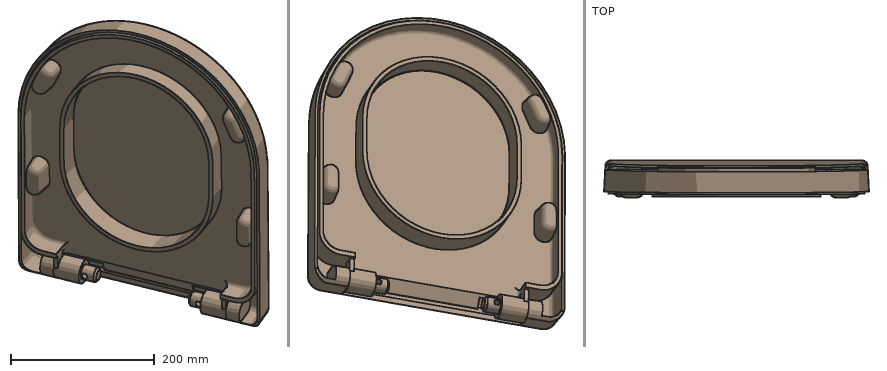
import cadquery as cq
import math


lid_half_width = 185.0
lid_arch_height = 182.0
lid_bottom = -264.5
lid_corner_radius = 22.0
lid_draft = 3.0
lid_rim_y = 7.5
lid_rim_slope = 0.0098
lid_rim_width = 4.0
lid_back_y = 46.5
lid_back_slope = 0.019
lid_back_edge_radius = 9.0
lid_floor_y = 43.0
lid_plateau_y = 30.5
lid_plateau_gap = 1.0
lid_floor_radius = 10.5
lid_bottom_wall = 5.0
hinge_notch_y = 45.5

ring_gap = 2.2
ring_rim_y = 4.5
ring_rim_slope = 0.0075
ring_rim_width = 5.5
ring_wall_bottom = -222.5
ring_end_wall_width = 7.0
ring_corner_radius = 31.5
ring_floor_y = 27.5
ring_floor_slope = 0.03
ring_floor_radius = 6.3
ring_plate = 4.0
ring_plate_bottom = -228.5
ramp_bottom = -248.0
ramp_drop = 9.0
ramp_back_y = 44.5

oval_radius = 110.8
oval_length = 53.5
lip_width = 6.3

axis_y = 27.5
axis_z = -248.13
barrel_radius = 17.2
barrel_outer_x = 131.8
barrel_inner_x = 93.0
knuckle_outer_x = 152.5
pin_radius = 10.5
pin_inner_x = 70.5
pin_chamfer = 3.0
pin_end_gap = 2.2
cross_hole_radius = 4.0
cross_hole_x = 87.0
arm_inner_x = 125.5
arm_front_y = 11.5

bumper_width = 27.5
bumper_length = 53.0
bumper_draft = 6.5
bumper_top_radius = 11.0
bumper_root = 1.0
bumper_places = [
    (161.0, -103.5, 0.0, 0.0),
    (146.0, 65.0, 25.0, -1.5),
]

far = 446.5
deep = 89.5


def facing_back(y):
    """Sketch plane at depth y, with its normal towards the back and its second axis along Z."""
    return cq.Workplane(cq.Plane(origin=(0, y, 0), xDir=(-1, 0, 0), normal=(0, 1, 0)))


def arch(half_width, height, bottom, corner, draft=0.0):
    """Prism from Y = 0 to the back: arched end, straight sides, two rounded bottom corners."""
    inset = corner * (1 - math.sqrt(0.5))
    return (
        facing_back(0)
        .moveTo(-half_width, 0)
        .threePointArc((0, height), (half_width, 0))
        .lineTo(half_width, bottom + corner)
        .threePointArc((half_width - inset, bottom + inset), (half_width - corner, bottom))
        .lineTo(corner - half_width, bottom)
        .threePointArc((inset - half_width, bottom + inset), (-half_width, bottom + corner))
        .close()
        .extrude(deep, taper=draft)
    )


def behind(y, slope):
    """Everything on the +Y side of a sloping face."""
    return (
        cq.Workplane("YZ")
        .polyline([(y - slope * far, far), (far, far), (far, -far), (y + slope * far, -far)])
        .close()
        .extrude(far, both=True)
    )


def rod(radius, x0, x1):
    """Cylinder on the hinge axis."""
    return cq.Workplane("YZ", origin=(x0, axis_y, axis_z)).circle(radius).extrude(x1 - x0)


def block(x0, x1, y0, y1, z0, z1):
    """Box between two corners."""
    return cq.Workplane("XY").box(x1 - x0, y1 - y0, z1 - z0, centered=False).translate((x0, y0, z0))


def span(side, x_near, x_far):
    """Start and end in X of a stretch on the given side of the middle."""
    return sorted((side * x_near, side * x_far))


def oval(y, radius):
    """Straight-sided oval prism around the seat opening, from depth y to the back."""
    sketch = facing_back(y).center(0, -oval_length / 2)
    return sketch.slot2D(oval_length + 2 * radius, 2 * radius, 90).extrude(deep)


def make_lid():
    body = arch(lid_half_width, lid_arch_height, lid_bottom, lid_corner_radius, lid_draft)
    body = body.intersect(behind(lid_rim_y, lid_rim_slope)).cut(behind(lid_back_y, lid_back_slope))
    body = body.faces(">Y").edges().fillet(lid_back_edge_radius)

    end_block = block(-far, far, -far, axis_y, -far, axis_z)
    body = body.cut(end_block.cut(rod(barrel_radius, -far, far)))

    cavity = arch(
        lid_half_width - lid_rim_width,
        lid_arch_height - lid_rim_width,
        lid_bottom + lid_bottom_wall,
        lid_corner_radius - lid_rim_width,
        lid_draft,
    )
    cavity = cavity.cut(behind(lid_floor_y, lid_back_slope))
    cavity = cavity.faces(">Y").edges().fillet(lid_floor_radius)
    for side in (-1, 1):
        x0, x1 = span(side, barrel_outer_x, knuckle_outer_x)
        foot = block(x0, x1, axis_y, deep, axis_z - barrel_radius, axis_z + barrel_radius)
        cavity = cavity.cut(rod(barrel_radius, x0, x1).union(foot))

    plateau = oval(0, oval_radius - lid_plateau_gap)
    cavity = cavity.cut(plateau.intersect(behind(lid_plateau_y, lid_back_slope)))
    body = body.cut(cavity)

    notch = block(-barrel_outer_x, barrel_outer_x, -far, hinge_notch_y, -far, axis_z)
    return body.cut(notch)


def make_bumper(x, z, lean, top_y):
    """Drafted oblong bumper with a rounded top, standing on the ring floor."""
    foot_y = ring_floor_y - ring_floor_slope * z + bumper_root
    plane = cq.Plane(origin=(x, foot_y, z), xDir=(1, 0, 0), normal=(0, -1, 0))
    foot = cq.Workplane(plane).slot2D(bumper_length, bumper_width, 90 - lean)
    bumper = foot.extrude(foot_y - top_y, taper=bumper_draft)
    return bumper.faces("<Y").edges().fillet(bumper_top_radius)


def make_ring():
    half_width = lid_half_width - lid_rim_width - ring_gap
    height = lid_arch_height - lid_rim_width - ring_gap
    wall_top = ring_wall_bottom + ring_end_wall_width

    body = arch(half_width, height, ring_wall_bottom, ring_corner_radius)
    body = body.union(block(-arm_inner_x, arm_inner_x, 0, deep, ring_plate_bottom, 0))
    body = body.intersect(behind(ring_rim_y, ring_rim_slope))
    body = body.cut(behind(ring_floor_y + ring_plate, ring_floor_slope))

    hollow = arch(
        half_width - ring_rim_width,
        height - ring_rim_width,
        wall_top,
        ring_corner_radius - ring_rim_width,
    )
    hollow = hollow.union(block(-arm_inner_x, arm_inner_x, 0, deep, -far, 0))
    hollow = hollow.cut(behind(ring_floor_y, ring_floor_slope))
    body = body.cut(hollow.faces(">Y").edges().fillet(ring_floor_radius))

    ramp_y = ring_floor_y - ring_floor_slope * ring_plate_bottom
    ramp = (
        cq.Workplane("YZ")
        .polyline([
            (ramp_y, ring_plate_bottom),
            (ramp_y + ramp_drop, ramp_bottom),
            (ramp_back_y, ramp_bottom),
            (ramp_back_y, ring_plate_bottom),
        ])
        .close()
        .extrude(barrel_inner_x, both=True)
    )
    body = body.union(ramp)

    for side in (-1, 1):
        for x, z, lean, top_y in bumper_places:
            body = body.union(make_bumper(side * x, z, -side * lean, top_y))

    lip = oval(0, oval_radius + lip_width).cut(behind(ring_floor_y + ring_plate, ring_floor_slope))
    body = body.union(lip).cut(oval(-4.5, oval_radius))

    for side in (-1, 1):
        x0, x1 = span(side, arm_inner_x, barrel_outer_x)
        body = body.union(block(x0, x1, arm_front_y, axis_y, axis_z, wall_top))
        x0, x1 = span(side, pin_inner_x - pin_end_gap, barrel_outer_x)
        body = body.cut(rod(barrel_radius, x0, x1))
    return body


def make_barrel(side):
    """Hinge barrel, bored through for its pin."""
    x0, x1 = span(side, barrel_inner_x, barrel_outer_x)
    return rod(barrel_radius, x0, x1).cut(rod(pin_radius, x0, x1))


def make_pin(side):
    """Pin through the barrel, with a cross hole in its free end."""
    x0, x1 = span(side, pin_inner_x, barrel_outer_x)
    pin = rod(pin_radius, x0, x1).faces("<X" if side > 0 else ">X").edges().chamfer(pin_chamfer)
    hole = facing_back(0).center(-side * cross_hole_x, axis_z).circle(cross_hole_radius).extrude(deep)
    return pin.cut(hole)


lid = make_lid()
ring = make_ring()
barrels = [make_barrel(side) for side in (-1, 1)]
pins = [make_pin(side) for side in (-1, 1)]
result = cq.Compound.makeCompound([body.val() for body in (lid, ring, *barrels, *pins)])